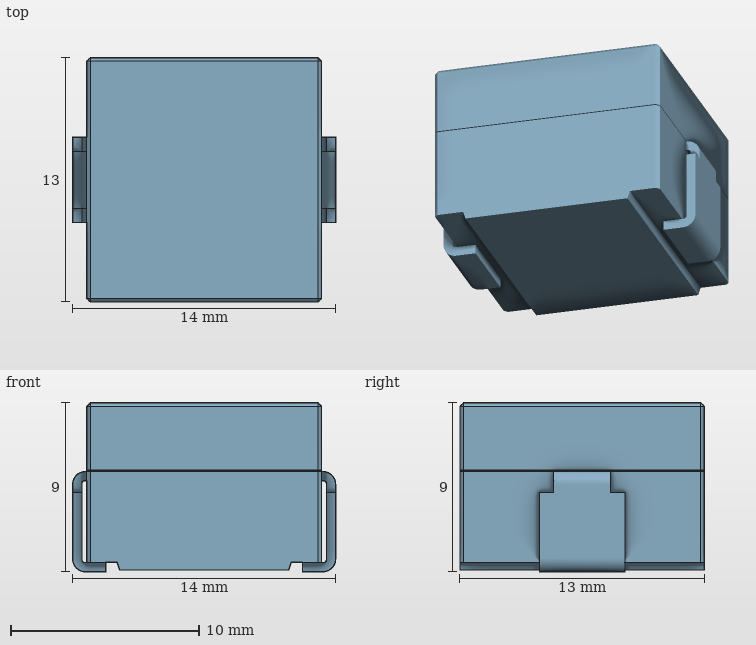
import cadquery as cq

span_x = 14.0
core_x = 12.5
core_y = 13.0
top_z = 9.0
edge_chamfer = 0.2

seam_z = 5.35
seam_gap = 0.05

strip_thickness = 0.5
bend_outer_radius = 0.7
bend_inner_radius = 0.14
foot_length = 1.78
shoulder_z = 4.23
terminal_width = 4.55
neck_width = 3.02

standoff = 0.1
recess_z = strip_thickness
pad_root_x = 9.27
pad_face_x = 9.0


def core_block(bottom_z, upper_z):
    """Rectangular core block with sharp edges."""
    return (
        cq.Workplane("XY", origin=(0, 0, bottom_z))
        .rect(core_x, core_y)
        .extrude(upper_z - bottom_z)
    )


def make_upper_core():
    """Cap whose top and vertical edges are all chamfered."""
    return core_block(seam_z + seam_gap, top_z).edges("|Z or >Z").chamfer(edge_chamfer)


def make_lower_core():
    """Block with chamfered vertical edges and a tapered pad along its whole underside in Y."""
    pad_profile = [
        (-pad_root_x / 2, recess_z),
        (-pad_face_x / 2, standoff),
        (pad_face_x / 2, standoff),
        (pad_root_x / 2, recess_z),
    ]
    pad = cq.Workplane("XZ").polyline(pad_profile).close().extrude(core_y / 2, both=True)
    return core_block(recess_z, seam_z).edges("|Z").chamfer(edge_chamfer).union(pad)


def make_terminal():
    """C-shaped strip on the -X side: neck against the core, upright plate, foot under the core."""
    outer_x = -span_x / 2
    inner_x = outer_x + strip_thickness
    foot_end_x = outer_x + foot_length
    core_face_x = -core_x / 2

    strip = (
        cq.Workplane("XZ")
        .moveTo(foot_end_x, 0)
        .lineTo(outer_x + bend_outer_radius, 0)
        .radiusArc((outer_x, bend_outer_radius), bend_outer_radius)
        .lineTo(outer_x, seam_z - bend_outer_radius)
        .radiusArc((outer_x + bend_outer_radius, seam_z), bend_outer_radius)
        .lineTo(core_face_x, seam_z)
        .lineTo(core_face_x, seam_z - strip_thickness)
        .lineTo(inner_x + bend_inner_radius, seam_z - strip_thickness)
        .radiusArc((inner_x, seam_z - strip_thickness - bend_inner_radius), -bend_inner_radius)
        .lineTo(inner_x, strip_thickness + bend_inner_radius)
        .radiusArc((inner_x + bend_inner_radius, strip_thickness), -bend_inner_radius)
        .lineTo(foot_end_x, strip_thickness)
        .close()
        .extrude(terminal_width / 2, both=True)
    )

    outline = [
        (-terminal_width / 2, 0),
        (terminal_width / 2, 0),
        (terminal_width / 2, shoulder_z),
        (neck_width / 2, shoulder_z),
        (neck_width / 2, seam_z),
        (-neck_width / 2, seam_z),
        (-neck_width / 2, shoulder_z),
        (-terminal_width / 2, shoulder_z),
    ]
    silhouette = cq.Workplane("YZ").polyline(outline).close().extrude(outer_x)
    return strip.intersect(silhouette)


upper_core = make_upper_core()
lower_core = make_lower_core()
terminals = [make_terminal().rotate((0, 0, 0), (0, 0, 1), angle) for angle in (0, 180)]

result = cq.Compound.makeCompound(
    [upper_core.val(), lower_core.solids().val(), *[terminal.solids().val() for terminal in terminals]]
)